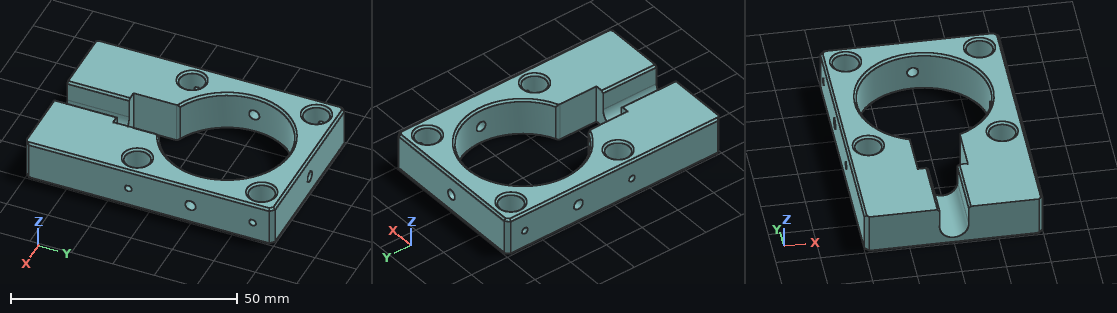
import cadquery as cq
import math

WIDTH = 40.0
LENGTH = 60.0
THICKNESS = 10.0
CORNER_CHAMFER = 1.0
EDGE_CHAMFER = 0.5

BORE_DIAMETER = 30.0
BORE_Y = 10.0
SLOT_WIDTH = 11.2
SLOT_END_Y = -15.0
MOUTH_WIDTH = 11.7
MOUTH_FLARE_LENGTH = 0.85

CHANNEL_WIDTH = 6.5
CHANNEL_CHAMFER = 0.5

MOUNT_DIAMETER = 6.0
MOUNT_PITCH = 30.0

RADIAL_HOLE_DIAMETER = 2.5
SIDE_HOLE_DIAMETER = 1.6

HOLE_CHAMFER = 0.5

FRONT_Y = -LENGTH / 2
MID_Z = THICKNESS / 2
MOUNT_POINTS = [
    (x_side * MOUNT_PITCH / 2, BORE_Y + y_side * MOUNT_PITCH / 2)
    for x_side in (-1, 1)
    for y_side in (-1, 1)
]


def make_plate():
    """Plate with bevelled edges everywhere except the sharp top front edge."""
    plate = cq.Workplane("XY").box(WIDTH, LENGTH, THICKNESS, centered=(True, True, False))
    plate = plate.edges("|Z").chamfer(CORNER_CHAMFER)
    plate = plate.faces("<Z").edges().chamfer(EDGE_CHAMFER)
    top_edges = plate.faces(">Z").edges("|Y or (|X and >Y)")
    top_edges = top_edges.add(plate.faces(">Z").edges("not (|X or |Y)").edges(">Y"))
    return top_edges.chamfer(EDGE_CHAMFER)


def rim_chamfer(x, y, diameter, rim_z, inner_z):
    """Conical cutter that widens a hole by HOLE_CHAMFER from inner_z to its rim at rim_z."""
    radius = diameter / 2
    return (
        cq.Workplane("XY", origin=(x, y, rim_z))
        .circle(radius + HOLE_CHAMFER)
        .workplane(offset=inner_z - rim_z)
        .circle(radius)
        .loft(ruled=True)
    )


def chamfered_hole(x, y, diameter):
    """Cutter for a vertical through hole with both rims chamfered."""
    hole = cq.Workplane("XY").center(x, y).circle(diameter / 2).extrude(THICKNESS)
    bottom_rim = rim_chamfer(x, y, diameter, 0, HOLE_CHAMFER)
    top_rim = rim_chamfer(x, y, diameter, THICKNESS, THICKNESS - HOLE_CHAMFER)
    return hole.union(bottom_rim).union(top_rim)


def make_slot():
    """Cutter for the slot, flaring slightly where it opens into the bore."""
    half = SLOT_WIDTH / 2
    mouth_half = MOUTH_WIDTH / 2
    mouth_y = BORE_Y - math.sqrt((BORE_DIAMETER / 2) ** 2 - mouth_half**2)
    flare_start_y = mouth_y - MOUTH_FLARE_LENGTH
    outline = [
        (-half, SLOT_END_Y),
        (half, SLOT_END_Y),
        (half, flare_start_y),
        (mouth_half, mouth_y),
        (0, BORE_Y),
        (-mouth_half, mouth_y),
        (-half, flare_start_y),
    ]
    return cq.Workplane("XY").polyline(outline).close().extrude(THICKNESS)


def make_channel():
    """Cutter for the U-shaped channel with bevelled top edges."""
    half = CHANNEL_WIDTH / 2
    bevel_z = THICKNESS - CHANNEL_CHAMFER
    return (
        cq.Workplane("XZ", origin=(0, SLOT_END_Y, 0))
        .moveTo(-half - CHANNEL_CHAMFER, THICKNESS)
        .lineTo(-half, bevel_z)
        .lineTo(-half, MID_Z)
        .threePointArc((0, MID_Z - half), (half, MID_Z))
        .lineTo(half, bevel_z)
        .lineTo(half + CHANNEL_CHAMFER, THICKNESS)
        .close()
        .extrude(SLOT_END_Y - FRONT_Y)
    )


def side_hole(y, diameter, inner_x):
    """Cutter for a pair of holes drilled from both side faces to inner_x."""
    depth = WIDTH / 2 - inner_x
    right = cq.Workplane("YZ", origin=(inner_x, y, MID_Z)).circle(diameter / 2).extrude(depth)
    return right.union(right.mirror("YZ"))


def back_hole():
    """Cutter for the hole drilled from the back face into the bore."""
    depth = LENGTH / 2 - BORE_Y
    return (
        cq.Workplane("XZ", origin=(0, LENGTH / 2, MID_Z))
        .circle(RADIAL_HOLE_DIAMETER / 2)
        .extrude(depth)
    )


result = make_plate()
result = result.cut(chamfered_hole(0, BORE_Y, BORE_DIAMETER))
result = result.cut(make_slot())
result = result.cut(make_channel())
for mount_x, mount_y in MOUNT_POINTS:
    result = result.cut(chamfered_hole(mount_x, mount_y, MOUNT_DIAMETER))

result = result.cut(side_hole(BORE_Y, RADIAL_HOLE_DIAMETER, 0))
for y_side in (-1, 1):
    mount_row_y = BORE_Y + y_side * MOUNT_PITCH / 2
    result = result.cut(side_hole(mount_row_y, SIDE_HOLE_DIAMETER, MOUNT_PITCH / 2))
result = result.cut(back_hole())